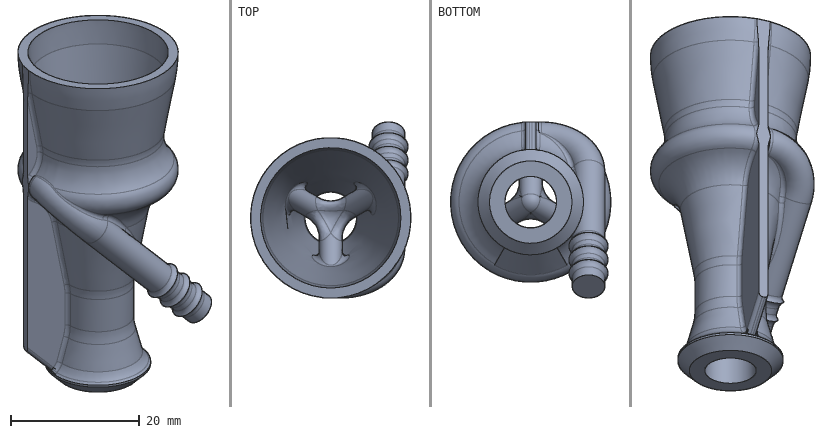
import cadquery as cq
import math

TOLERANCE = 1e-3
JOIN_TOLERANCE = 1e-4

height = 56.33
rim_r = 12.5
wall = 1.57
taper = math.radians(10.4)
waist_r = 5.57
waist_low_z, waist_high_z = 10.15, 15.8
lower_cone_z, lower_cone_top_z = 17.34, 28.86
neck_z = 41.5
upper_cone_z, upper_cone_top_z = 42.7, 52.3

bulge_r = 2.55
bulge_ring_r = rim_r - bulge_r
bulge_z = 35.75

flare = math.radians(15)
flare_high_z, flare_low_z = 8.06, 3.85
foot_curl_r, foot_curl_z = 7.88, 2.49
foot_r, foot_high_z, foot_low_z = 8.22, 2.15, 1.8
foot_bottom_r = foot_r - foot_low_z

web_half_angle = 30
web_top_r, web_top_z = 12.25, 34.7
web_bottom_r, web_bottom_z = 7.9, 29.5
web_root_r = 7.0

rib_width = 1.6
rib_end_z = 6.75
rib_root_r = 4.8
rib_stock = 3.0
rib_end_round = 0.6
rib_root_round = 0.7

tube_x = 9.0
tube_bend_r = 7.35
tube_length = 25.32
tube_joint_round = 0.6
barb_count = 3
barb_pitch = 3.0
barb_from_tip = 2.9
barb_r = 3.05
barb_front, barb_back = 1.1, 0.9

arm_count = 3
arm_r = 1.8
arm_slope = 45
arm_hub_z = bulge_z - bulge_ring_r * math.tan(math.radians(arm_slope))
hub_round = 3.0
arm_wall_round = 0.8
arm_root_near_r, arm_root_far_r = 5.0, 7.3


def bend_rise(z_span, angle):
    """Change in radius of an arc that turns from vertical to the angle over z_span."""
    return z_span * math.tan(angle / 2)


upper_cone_top_r = rim_r - bend_rise(height - upper_cone_top_z, taper)
upper_cone_r = upper_cone_top_r - (upper_cone_top_z - upper_cone_z) * math.tan(taper)
neck_r = upper_cone_r - bend_rise(upper_cone_z - neck_z, taper)
lower_cone_r = waist_r + bend_rise(lower_cone_z - waist_high_z, taper)
lower_cone_top_r = lower_cone_r + (lower_cone_top_z - lower_cone_z) * math.tan(taper)
flare_high_r = waist_r + bend_rise(waist_low_z - flare_high_z, flare)
flare_low_r = flare_high_r + (flare_high_z - flare_low_z) * math.tan(flare)


def bulge_contact(start_r, start_z, angle):
    """Point on the bulge touched by the concave arc that leaves a line at its start.

    The arc's centre lies outward from the start, along the line's normal.
    """
    normal_r, normal_z = math.cos(angle), -math.sin(angle)
    offset_r, offset_z = start_r - bulge_ring_r, start_z - bulge_z
    along = offset_r * normal_r + offset_z * normal_z
    radius = (offset_r**2 + offset_z**2 - bulge_r**2) / (2 * (bulge_r - along))
    share = bulge_r / (bulge_r + radius)
    return (
        bulge_ring_r + (offset_r + radius * normal_r) * share,
        bulge_z + (offset_z + radius * normal_z) * share,
    )


def make_body():
    """Solid funnel with its foot, waist, bulge and rim."""
    lower_contact = bulge_contact(lower_cone_top_r, lower_cone_top_z, taper)
    upper_contact = bulge_contact(neck_r, neck_z, 0)
    return (
        cq.Workplane("XZ")
        .moveTo(0, 0)
        .lineTo(foot_bottom_r, 0)
        .lineTo(foot_r, foot_low_z)
        .lineTo(foot_r, foot_high_z)
        .lineTo(foot_curl_r, foot_curl_z)
        .tangentArcPoint((flare_low_r, flare_low_z), relative=False)
        .lineTo(flare_high_r, flare_high_z)
        .tangentArcPoint((waist_r, waist_low_z), relative=False)
        .lineTo(waist_r, waist_high_z)
        .tangentArcPoint((lower_cone_r, lower_cone_z), relative=False)
        .lineTo(lower_cone_top_r, lower_cone_top_z)
        .tangentArcPoint(lower_contact, relative=False)
        .threePointArc((rim_r, bulge_z), upper_contact)
        .tangentArcPoint((neck_r, neck_z), relative=False)
        .tangentArcPoint((upper_cone_r, upper_cone_z), relative=False)
        .lineTo(upper_cone_top_r, upper_cone_top_z)
        .tangentArcPoint((rim_r, height), relative=False)
        .lineTo(0, height)
        .close()
        .revolve(360, (0, 0, 0), (0, 1, 0))
    )


def make_bore():
    """Straight bore through foot and waist, opening into one long cone up to the rim."""
    return (
        cq.Workplane("XZ")
        .moveTo(0, 0)
        .lineTo(waist_r - wall, 0)
        .lineTo(waist_r - wall, waist_high_z)
        .tangentArcPoint((lower_cone_r - wall, lower_cone_z), relative=False)
        .lineTo(upper_cone_top_r - wall, upper_cone_top_z)
        .tangentArcPoint((rim_r - wall, height), relative=False)
        .lineTo(0, height)
        .close()
        .revolve(360, (0, 0, 0), (0, 1, 0))
    )


def make_web():
    """Conical filling of the hollow under the bulge, centred on +Y."""
    return (
        cq.Workplane("XZ")
        .polyline([
            (web_root_r, web_bottom_z),
            (web_bottom_r, web_bottom_z),
            (web_top_r, web_top_z),
            (web_root_r, web_top_z),
        ])
        .close()
        .revolve(2 * web_half_angle, (0, 0, 0), (0, 1, 0))
        .rotate((0, 0, 0), (0, 0, 1), 90 - web_half_angle)
    )


def rib_end_edges(rib):
    """The two long edges of the rib's 45 degree lower end."""
    edges = []
    for edge in rib.edges("#X").vals():
        run = edge.endPoint() - edge.startPoint()
        if abs(abs(run.y) - abs(run.z)) < TOLERANCE:
            edges.append(edge)
    return edges


def is_rib_root(edge):
    """True for edges where a flank of the rib meets the revolved body."""
    on_flank = abs(abs(edge.Center().x) - rib_width / 2) < TOLERANCE
    inside_rim = edge.BoundingBox().ymin > -rim_r
    return on_flank and inside_rim and edge.Center().z < height - TOLERANCE


def add_rib(body):
    """Add the front rib with rounded roots, cut flush with the bulge at -Y."""
    outer_y = -rim_r - rib_stock
    rib = (
        cq.Workplane("YZ")
        .polyline([
            (outer_y, rib_end_z + rib_stock),
            (outer_y, height),
            (-rib_root_r, height),
            (-rib_root_r, foot_low_z),
            (rib_end_z - foot_low_z - rim_r, foot_low_z),
        ])
        .close()
        .extrude(rib_width / 2, both=True)
    )
    rounded_rib = rib.newObject(rib_end_edges(rib)).fillet(rib_end_round)
    end_waste = rib.cut(rounded_rib).cut(body)
    joined = body.union(rib)
    root_edges = [edge for edge in joined.edges().vals() if is_rib_root(edge)]
    joined = joined.newObject(root_edges).fillet(rib_root_round)
    trim = cq.Workplane("XY").box(2 * rim_r, rib_stock, height, centered=(True, False, False))
    return joined.cut(end_waste).cut(trim.translate((0, outer_y, 0)))


def flank_middle(crest, reach):
    """Middle of the concave arc that runs from a barb's crest to lie flat on the tube."""
    rise = barb_r - bulge_r
    half_turn = math.atan(rise / abs(reach))
    radius = (reach**2 + rise**2) / (2 * rise)
    along = abs(reach) - radius * math.sin(half_turn)
    return (
        tube_x + bulge_r + radius * (1 - math.cos(half_turn)),
        crest + math.copysign(along, reach),
    )


def make_barbs(plane):
    """Hose barbs: sharp rings around the straight end of the tube."""
    tip = tube_bend_r + tube_length
    barbs = cq.Workplane(plane)
    for index in range(barb_count):
        crest = tip - barb_from_tip - index * barb_pitch
        ring = (
            cq.Workplane(plane)
            .moveTo(tube_x, crest + barb_front)
            .lineTo(tube_x + bulge_r, crest + barb_front)
            .threePointArc(flank_middle(crest, barb_front), (tube_x + barb_r, crest))
            .threePointArc(
                flank_middle(crest, -barb_back),
                (tube_x + bulge_r, crest - barb_back),
            )
            .lineTo(tube_x, crest - barb_back)
            .close()
            .revolve(360, (tube_x, 0, 0), (tube_x, 1, 0))
        )
        barbs = barbs.add(ring)
    return barbs.combine()


def make_tube():
    """Hose tube: leaves the bulge along +X, bends, then runs down and back at 45 degrees."""
    bend_x = tube_x - tube_bend_r
    plane = cq.Plane(origin=(0, -bulge_ring_r, bulge_z), xDir=(1, 0, 0), normal=(0, 1, 1))
    bend_mid = tube_bend_r * math.sqrt(0.5)
    path = (
        cq.Workplane(plane)
        .lineTo(bend_x, 0)
        .threePointArc(
            (bend_x + bend_mid, tube_bend_r - bend_mid),
            (tube_x, tube_bend_r),
        )
        .lineTo(tube_x, tube_bend_r + tube_length)
    )
    section = cq.Workplane("YZ", origin=(0, -bulge_ring_r, bulge_z)).circle(bulge_r)
    return section.sweep(path).union(make_barbs(plane))


def add_tube(body):
    """Join the hose tube to the revolved body and round the loop where they meet."""
    joined = body.union(make_tube())
    beside_tube = cq.selectors.BoxSelector(
        (0, -rim_r, lower_cone_z),
        (rim_r, waist_r, neck_z),
        boundingbox=True,
    )
    joint_edge = joined.edges(beside_tube).edges("%BSPLINE").edges(">X")
    return joined.newObject(joint_edge.vals()[:1]).fillet(tube_joint_round)


def make_arms():
    """Round arms sloping from the bulge ring down to a rounded hub on the axis."""
    length = math.hypot(bulge_ring_r, bulge_z - arm_hub_z)
    arms = cq.Workplane("XY").sphere(arm_r)
    for index in range(arm_count):
        arm = (
            cq.Workplane("XY")
            .circle(arm_r)
            .extrude(length)
            .rotate((0, 0, 0), (1, 0, 0), arm_slope)
            .rotate((0, 0, 0), (0, 0, 1), index * 360 / arm_count)
        )
        arms = arms.union(arm)
    valleys = [edge for edge in arms.edges().vals() if edge.geomType() == "ELLIPSE"]
    return arms.newObject(valleys).fillet(hub_round).translate((0, 0, arm_hub_z))


def join_arms(shell):
    """Join the arms to the shell and round the edges where they meet the conical bore."""
    joined = shell.union(make_arms())
    outside_hub = cq.selectors.BoxSelector(
        (-rim_r, -rim_r, arm_hub_z + arm_r),
        (rim_r, rim_r, neck_z),
        boundingbox=True,
    )
    root_edges = [
        edge
        for edge in joined.edges(outside_hub).edges("%BSPLINE").vals()
        if arm_root_near_r < math.hypot(edge.Center().x, edge.Center().y) < arm_root_far_r
    ]
    return joined.newObject(root_edges).fillet(arm_wall_round)


body = make_body()
shell = add_rib(body).union(add_tube(body), tol=JOIN_TOLERANCE)
shell = shell.union(make_web()).cut(make_bore())
result = join_arms(shell)